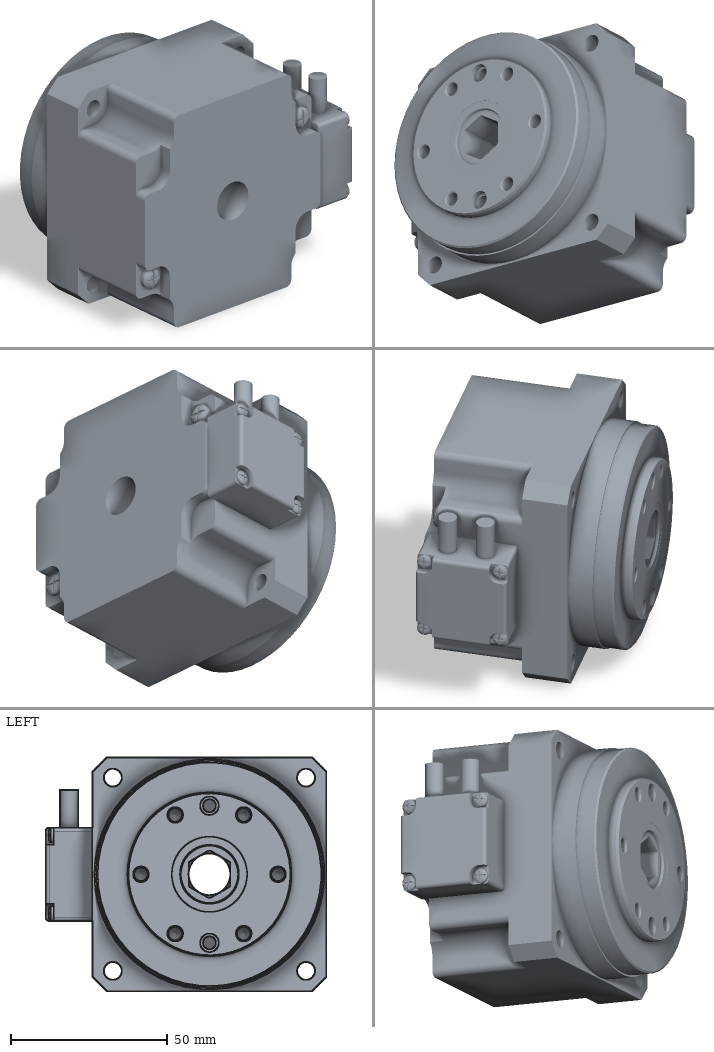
import cadquery as cq
import math


body_side = 75.0
body_length = 47.4
half_side = body_side / 2
corner_chamfer = 4.6
flange_thickness = 15.0

mount_offset = 31.0
mount_hole_diameter = 5.7
relief_radius = 5.9
rim_radius = 2.2
relief_wall = mount_offset - relief_radius

pocket_depth = 4.4
pocket_radius = 5.0
pocket_y = 31.95
pocket_z = 18.5
rear_screw_radius = 3.5
rear_screw_height = 2.4

ring_radius = 36.9
ring_length = 8.2
cover_radius = 36.4
cover_length = 6.8
cover_chamfer = 0.5
hub_radius = 26.3
hub_length = 3.5
hub_bevel_length = 1.0
hub_bevel_height = 0.4
cover_face = -ring_length - cover_length
hub_face = cover_face - hub_length

hub_hole_circle = 22.0
bolt_count = 6
bolt_hole_radius = 2.2
bolt_hole_depth = 10.0
bolt_rim_radius = 2.5
dowel_radius = 2.1
dowel_depth = 7.0
dowel_rim_radius = 3.0
dowel_rim_depth = 2.2

seat_radius = 12.1
seat_depth = 0.1
mouth_radius = 9.45
mouth_floor_radius = 9.2
mouth_depth = 0.9
hex_flats = 13.4
hex_corner_radius = 7.6
hex_depth = 20.0
bore_diameter = 13.3

box_side = 30.0
box_height = 15.0
box_rear_inset = 1.0
box_rounding = 1.2
box_x = body_length - box_rear_inset - box_side / 2
box_face = half_side + box_height
box_pocket_side = 5.6
box_pocket_radius = 3.15
box_pocket_depth = 2.6
box_screw_inset = 2.4
box_screw_radius = 2.3
box_screw_height = 1.6
cable_radius = 3.0
cable_spacing = 12.5
cable_y = half_side + box_height / 2
cable_top = 27.1

head_rim_share = 0.6
head_top_share = 0.5
head_bulge_share = 0.04
recess_width_share = 0.2
recess_depth_share = 0.25

overlap = 0.9
quadrants = [(1, 1), (1, -1), (-1, 1), (-1, -1)]


def cross_section(x):
    """Workplane across the output axis, with local axes Y and Z."""
    return cq.Workplane("YZ", origin=(x, 0, 0))


def to_quadrant(shape, sign_y, sign_z):
    """Mirror a shape from the +Y +Z quadrant into the wanted one."""
    if sign_y < 0:
        shape = shape.mirror("XZ")
    if sign_z < 0:
        shape = shape.mirror("XY")
    return shape


def diagonal_point(center_y, center_z, radius):
    """Point at 45 degrees on a circle; a negative radius gives the opposite side."""
    step = radius / math.sqrt(2)
    return (center_y + step, center_z + step)


def pan_head(radius, height):
    """Domed screw head with a cross recess, standing on the XY plane."""
    rim = height * head_rim_share
    top = radius * head_top_share
    bulge = radius * head_bulge_share
    shoulder = ((radius + top) / 2 + bulge, (rim + height) / 2 + bulge)
    head = (
        cq.Workplane("XZ")
        .moveTo(0, -overlap)
        .lineTo(radius, -overlap)
        .lineTo(radius, rim)
        .threePointArc(shoulder, (top, height))
        .lineTo(0, height)
        .close()
        .revolve(360, (0, 0, 0), (0, 1, 0))
    )
    recess_depth = height * recess_depth_share
    slot_width = radius * recess_width_share
    for length, width in [(2 * radius, slot_width), (slot_width, 2 * radius)]:
        slot = cq.Workplane("XY", origin=(0, 0, height - recess_depth)).rect(length, width)
        head = head.cut(slot.extrude(recess_depth + overlap))
    return head


def corner_relief():
    """Clearance behind a mounting hole, with rounded rims where it meets the sides."""
    rim_center = relief_wall - rim_radius
    edge_center = half_side - rim_radius
    outside = half_side + overlap
    return (
        cross_section(flange_thickness)
        .moveTo(rim_center, half_side)
        .threePointArc(diagonal_point(rim_center, edge_center, rim_radius), (relief_wall, edge_center))
        .lineTo(relief_wall, mount_offset)
        .threePointArc(
            diagonal_point(mount_offset, mount_offset, -relief_radius), (mount_offset, relief_wall)
        )
        .lineTo(edge_center, relief_wall)
        .threePointArc(diagonal_point(edge_center, rim_center, rim_radius), (half_side, rim_center))
        .lineTo(outside, rim_center)
        .lineTo(outside, outside)
        .lineTo(rim_center, outside)
        .close()
        .extrude(body_length - flange_thickness + overlap)
    )


def rear_pocket():
    """Screw pocket in the rear end, open to the side face and to the corner relief."""
    floor_z = pocket_z - pocket_radius
    edge_center = half_side - rim_radius
    outside = half_side + overlap
    return (
        cross_section(body_length - pocket_depth)
        .moveTo(outside, floor_z - rim_radius)
        .lineTo(half_side, floor_z - rim_radius)
        .threePointArc(
            diagonal_point(edge_center, floor_z - rim_radius, rim_radius), (edge_center, floor_z)
        )
        .lineTo(pocket_y, floor_z)
        .threePointArc(
            diagonal_point(pocket_y, pocket_z, -pocket_radius), (pocket_y - pocket_radius, pocket_z)
        )
        .lineTo(pocket_y - pocket_radius, mount_offset)
        .lineTo(outside, mount_offset)
        .close()
        .extrude(pocket_depth + overlap)
    )


def motor_body():
    body = cross_section(0).rect(body_side, body_side).extrude(body_length)
    body = body.edges("|X").chamfer(corner_chamfer)
    for sign_y, sign_z in quadrants:
        body = body.cut(to_quadrant(corner_relief(), sign_y, sign_z))
        body = body.cut(to_quadrant(rear_pocket(), sign_y, sign_z))
    mount_holes = (
        cross_section(0)
        .rect(2 * mount_offset, 2 * mount_offset, forConstruction=True)
        .vertices()
        .circle(mount_hole_diameter / 2)
        .extrude(flange_thickness)
    )
    body = body.cut(mount_holes)

    screw = pan_head(rear_screw_radius, rear_screw_height).rotate((0, 0, 0), (0, 1, 0), 90)
    for sign in (1, -1):
        body = body.union(screw.translate((body_length - pocket_depth, sign * pocket_y, sign * pocket_z)))
    return body


def output_end():
    ring = cross_section(-ring_length).circle(ring_radius).extrude(ring_length)
    cover = cross_section(cover_face).circle(cover_radius).extrude(cover_length)
    cover = cover.faces("<X").chamfer(cover_chamfer)
    hub = (
        cq.Workplane("XY")
        .polyline([
            (cover_face, 0),
            (cover_face, hub_radius),
            (hub_face + hub_bevel_length, hub_radius),
            (hub_face, hub_radius - hub_bevel_height),
            (hub_face, 0),
        ])
        .close()
        .revolve(360, (0, 0, 0), (1, 0, 0))
    )
    return ring.union(cover).union(hub)


def bolt_hole():
    """Blind hole with a chamfered rim and a 90 degree conical end, on the output axis."""
    rim_depth = bolt_rim_radius - bolt_hole_radius
    return (
        cq.Workplane("XY")
        .polyline([
            (hub_face, 0),
            (hub_face, bolt_rim_radius),
            (hub_face + rim_depth, bolt_hole_radius),
            (hub_face + bolt_hole_depth, bolt_hole_radius),
            (hub_face + bolt_hole_depth + bolt_hole_radius, 0),
        ])
        .close()
        .revolve(360, (0, 0, 0), (1, 0, 0))
    )


def dowel_hole():
    """Stepped blind hole on the output axis."""
    rim = cross_section(hub_face).circle(dowel_rim_radius).extrude(dowel_rim_depth)
    return rim.union(cross_section(hub_face).circle(dowel_radius).extrude(dowel_depth))


def cut_hub_holes(part):
    for index in range(bolt_count):
        angle = index * 360 / bolt_count
        hole = bolt_hole().translate((0, hub_hole_circle, 0)).rotate((0, 0, 0), (1, 0, 0), angle)
        part = part.cut(hole)
    for sign in (1, -1):
        part = part.cut(dowel_hole().translate((0, 0, sign * hub_hole_circle)))
    return part


def cut_shaft_opening(part):
    """Shallow seat, bevelled mouth, hexagonal socket and a round bore through the rear."""
    seat = cross_section(hub_face).circle(seat_radius).extrude(seat_depth)
    mouth_start = hub_face + seat_depth
    mouth = (
        cross_section(mouth_start)
        .circle(mouth_radius)
        .workplane(offset=mouth_depth)
        .circle(mouth_floor_radius)
        .loft()
    )
    hexagon = cross_section(hub_face).polygon(6, hex_flats / math.cos(math.pi / 6)).extrude(hex_depth)
    hexagon = hexagon.rotate((0, 0, 0), (1, 0, 0), 30)
    socket = hexagon.intersect(cross_section(hub_face).circle(hex_corner_radius).extrude(hex_depth))
    bore = cross_section(hub_face).circle(bore_diameter / 2).extrude(body_length - hub_face)
    return part.cut(seat).cut(mouth).cut(socket).cut(bore)


def terminal_box():
    """Box on the +Y side with a screw in each outer corner and two cables leaving upward."""
    box = cq.Workplane("XY").box(box_side, box_height, box_side)
    box = box.translate((box_x, half_side + box_height / 2, 0))
    box = box.edges("|Y").fillet(box_rounding)
    box = box.faces(">Y").edges().fillet(box_rounding)

    floor_y = box_face - box_pocket_depth
    pocket_center = box_side / 2 - box_pocket_side / 2
    pocket_span = box_pocket_side + 2 * box_pocket_radius
    pocket_shift = pocket_center + box_pocket_radius
    screw_shift = box_side / 2 - box_screw_inset
    pocket = cq.Workplane("XY").box(pocket_span, 2 * box_pocket_depth, pocket_span)
    pocket = pocket.edges("|Y").fillet(box_pocket_radius)
    screw = pan_head(box_screw_radius, box_screw_height).rotate((0, 0, 0), (1, 0, 0), -90)
    for sign_x, sign_z in quadrants:
        box = box.cut(pocket.translate((box_x + sign_x * pocket_shift, box_face, sign_z * pocket_shift)))
        box = box.union(screw.translate((box_x + sign_x * screw_shift, floor_y, sign_z * screw_shift)))

    for sign in (1, -1):
        cable_center = (box_x + sign * cable_spacing / 2, cable_y, 0)
        box = box.union(cq.Workplane("XY", origin=cable_center).circle(cable_radius).extrude(cable_top))
    return box


result = motor_body().union(output_end()).union(terminal_box())
result = cut_hub_holes(result)
result = cut_shaft_opening(result)